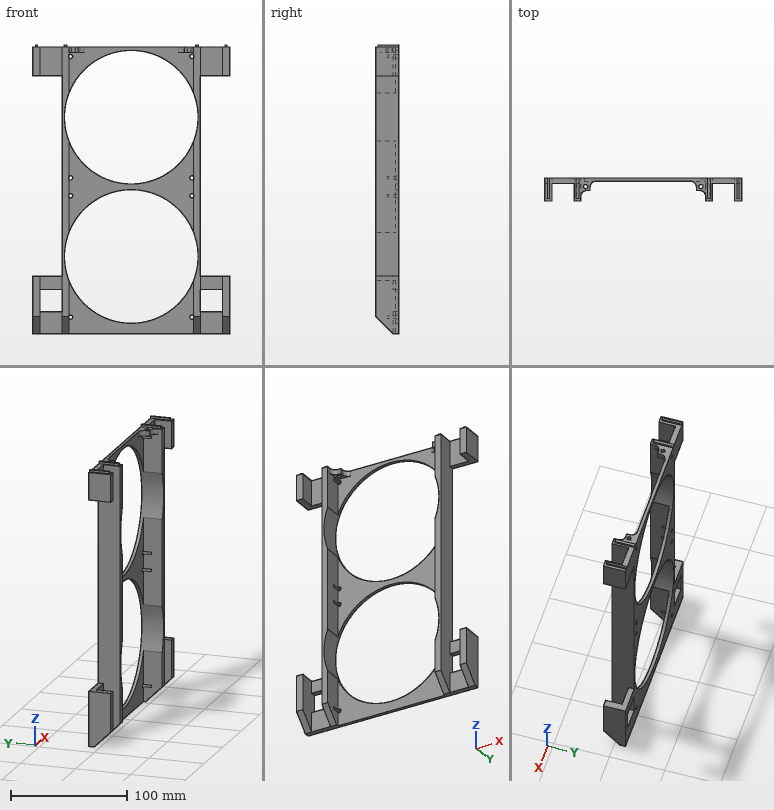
import cadquery as cq
import math

total_height = 249.0
total_width = 170.0
depth = 20.0
ridge_height = 1.7
body_height = total_height - ridge_height
half_width = total_width / 2

plate_thickness = 3.0
strap_thickness = 5.0
end_wall_thickness = 6.5
bracket_gap = 19.0
rail_thickness = 6.0
rail_outer_x = half_width - end_wall_thickness - bracket_gap
rail_inner_x = rail_outer_x - rail_thickness
upper_bracket_height = 25.0
lower_bracket_height = 49.8
window_bottom = 19.2
window_top = 38.0

slope_size = 15.0

fan_diameter = 115.0
fan_pitch = 120.0
lower_fan_z = 66.7
screw_spacing = 104.5
screw_diameter = 3.5
screw_depth = 10.0

ridge_length = 18.0
wall_ridge_width = 1.7
rail_ridge_width = 2.5

gusset_height = 5.0
gusset_radius = 5.0
gusset_reach = 8.0
gusset_depth = 11.0
gusset_hole_diameter = 3.5
gusset_hole_offset = 4.0
gusset_hole_from_back = 7.5


def block(x_min, x_max, thickness, z_min, z_max):
    """Box that starts at the back face and reaches `thickness` forward."""
    size = (x_max - x_min, thickness, z_max - z_min)
    return cq.Workplane("XY").box(*size, centered=False).translate((x_min, -thickness, z_min))


def upright(x_min, x_max, z_min, z_max):
    """Full-depth wall between two X positions."""
    return block(x_min, x_max, depth, z_min, z_max)


def ridge(x_center, width):
    """Thin locating ridge standing on the top face."""
    return block(x_center - width / 2, x_center + width / 2, ridge_length, body_height, total_height)


def bracket(z_min, z_max):
    """Strap from the rail to the end wall, together with that wall."""
    strap = block(rail_outer_x, half_width, strap_thickness, z_min, z_max)
    wall = upright(half_width - end_wall_thickness, half_width, z_min, z_max)
    return strap.union(wall)


def gusset():
    """Corner block with concave arcs running into the rail and the plate."""
    gusset_bottom = body_height - gusset_height
    tip_x = rail_inner_x - gusset_reach
    bend = gusset_radius * (1 - math.cos(math.radians(45)))
    rail_arc_x = rail_inner_x - gusset_radius
    plate_arc_y = -plate_thickness - gusset_radius
    profile = (
        cq.Workplane("XY", origin=(0, 0, gusset_bottom))
        .moveTo(rail_outer_x, 0)
        .lineTo(rail_outer_x, -gusset_depth - gusset_radius)
        .lineTo(rail_inner_x, -gusset_depth - gusset_radius)
        .threePointArc((rail_inner_x - bend, -gusset_depth - bend), (rail_arc_x, -gusset_depth))
        .lineTo(tip_x, -gusset_depth)
        .lineTo(tip_x, plate_arc_y)
        .threePointArc((tip_x - bend, -plate_thickness - bend), (tip_x - gusset_radius, -plate_thickness))
        .lineTo(tip_x - gusset_radius, 0)
        .close()
    )
    hole = (
        cq.Workplane("XY", origin=(0, 0, gusset_bottom))
        .center(rail_inner_x - gusset_hole_offset, -gusset_hole_from_back)
        .circle(gusset_hole_diameter / 2)
        .extrude(gusset_height)
    )
    return profile.extrude(gusset_height).cut(hole)


def slope_cutter():
    """Wedge that removes the lower front corner across the whole width."""
    return (
        cq.Workplane("YZ", origin=(-half_width, 0, 0))
        .polyline([(-depth, 0), (slope_size - depth, 0), (-depth, slope_size)])
        .close()
        .extrude(total_width)
    )


def fan_cutter(z_center):
    """Fan opening through the full depth, with four screw holes that also groove the rails."""
    face = cq.Workplane("XZ", origin=(0, 0, z_center))
    opening = face.circle(fan_diameter / 2).extrude(depth)
    screws = face.rect(screw_spacing, screw_spacing, forConstruction=True).vertices()
    return opening.union(screws.circle(screw_diameter / 2).extrude(screw_depth))


side = upright(rail_inner_x, rail_outer_x, 0, body_height)
side = side.union(bracket(0, lower_bracket_height))
side = side.union(bracket(body_height - upper_bracket_height, body_height))
side = side.cut(block(rail_outer_x, half_width - end_wall_thickness, depth, window_bottom, window_top))
side = side.union(ridge(half_width - end_wall_thickness / 2, wall_ridge_width))
side = side.union(ridge(rail_outer_x - rail_thickness / 2, rail_ridge_width))
side = side.union(gusset())

result = block(-rail_outer_x, rail_outer_x, plate_thickness, 0, body_height)
result = result.union(side).union(side.mirror("YZ"))
for fan_z in (lower_fan_z, lower_fan_z + fan_pitch):
    result = result.cut(fan_cutter(fan_z))
result = result.cut(slope_cutter())